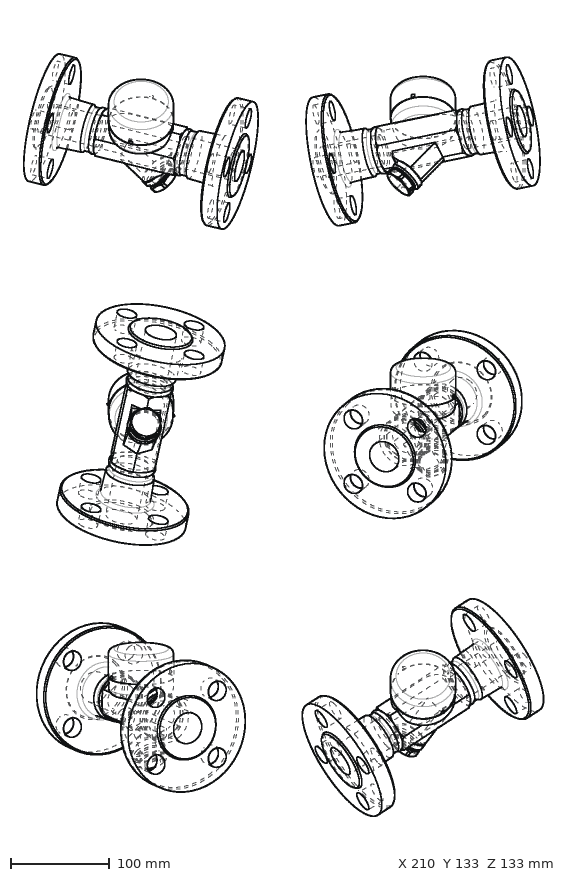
import cadquery as cq
import math

half_length = 105.0
raised_face_height = 2.0
raised_face_dia = 63.5
raised_face_base_dia = 66.5
flange_dia = 133.0
flange_thickness = 17.8
flange_chamfer = 1.5
bolt_hole_dia = 20.0
bolt_hole_count = 4
bolt_circle_dia = 98.0
bore_dia = 32.0

neck_root_dia = 51.8
neck_tip_dia = 50.0
neck_tip_x = 56.5
neck_root_fillet = 4.0
pipe_dia = 46.0
pipe_outer_x = 53.2
pipe_inner_x = 48.4
weld_bead_dia = 48.6

body_half_length = 43.2
body_across_flats = 44.6
body_chamfer_angle = 30.0

cap_dia = 66.0
cap_lower_dia = 65.0
cap_top_z = 61.2
cap_split_z = 31.4
cap_bottom_z = 14.0
cap_top_fillet = 5.5
cap_bottom_fillet = 6.0
nub_dia = 4.0
nub_height = 2.0
nub_z = 34.2

leg_origin_x = -22.8
leg_slope = 45.0
leg_across_corners = 34.0
leg_end = 53.2
leg_web_x = 27.8

plug_axis_drop = 0.5
collar_dia = 34.0
collar_chamfer = 1.9
collar_end = 60.9
plug_neck_dia = 29.0
plug_start = 62.7
plug_end = 70.2
plug_turned_dia = 33.0
plug_face_dia = 29.0
plug_across_flats = 30.0
plug_chamfer_angle = 30.0

hexagon_half_angle = math.radians(30)
flange_outer_x = half_length - raised_face_height
flange_inner_x = flange_outer_x - flange_thickness
body_across_corners = body_across_flats / math.cos(hexagon_half_angle)
leg_half_width = leg_across_corners / 2 * math.cos(hexagon_half_angle)
leg_web_top_z = leg_half_width * math.tan(hexagon_half_angle) - body_across_corners / 2


def make_flanged_end():
    """Half of the pipe run on the +X side: weld bead, pipe, neck and flange."""
    pipe_radius = pipe_dia / 2
    bead_middle_x = (body_half_length + pipe_inner_x) / 2
    neck_root_x = flange_inner_x - neck_root_fillet
    neck_root_radius = neck_root_dia / 2
    fillet_mid_inset = neck_root_fillet * math.sqrt(0.5)
    flange_radius = flange_dia / 2
    end = (
        cq.Workplane("XY")
        .moveTo(body_half_length, 0)
        .lineTo(body_half_length, pipe_radius)
        .threePointArc((bead_middle_x, weld_bead_dia / 2), (pipe_inner_x, pipe_radius))
        .lineTo(pipe_outer_x, pipe_radius)
        .tangentArcPoint((neck_tip_x, neck_tip_dia / 2), relative=False)
        .lineTo(neck_root_x, neck_root_radius)
        .threePointArc(
            (neck_root_x + fillet_mid_inset, neck_root_radius + neck_root_fillet - fillet_mid_inset),
            (flange_inner_x, neck_root_radius + neck_root_fillet),
        )
        .lineTo(flange_inner_x, flange_radius - flange_chamfer)
        .lineTo(flange_inner_x + flange_chamfer, flange_radius)
        .lineTo(flange_outer_x, flange_radius)
        .lineTo(flange_outer_x, raised_face_base_dia / 2)
        .lineTo(half_length, raised_face_dia / 2)
        .lineTo(half_length, 0)
        .close()
        .revolve(360, (0, 0, 0), (1, 0, 0))
    )
    bolt_holes = (
        cq.Workplane("YZ", origin=(flange_inner_x, 0, 0))
        .polarArray(bolt_circle_dia / 2, 180 / bolt_hole_count, 360, bolt_hole_count)
        .circle(bolt_hole_dia / 2)
        .extrude(flange_thickness)
    )
    return end.cut(bolt_holes)


def make_bore():
    """Blind port on the +X side, ending level with the end of the hexagonal body."""
    return (
        cq.Workplane("YZ", origin=(body_half_length, 0, 0))
        .circle(bore_dia / 2)
        .extrude(half_length - body_half_length)
    )


def make_body():
    """Hexagonal bar whose corners are turned down to a cone at both ends."""
    hexagon = (
        cq.Workplane("YZ", origin=(-body_half_length, 0, 0))
        .transformed(rotate=(0, 0, 90))
        .polygon(6, body_across_corners)
        .extrude(2 * body_half_length)
    )
    end_radius = pipe_dia / 2
    middle_radius = end_radius + body_half_length / math.tan(math.radians(body_chamfer_angle))
    turned_envelope = (
        cq.Workplane("XY")
        .polyline([
            (-body_half_length, 0),
            (-body_half_length, end_radius),
            (0, middle_radius),
            (body_half_length, end_radius),
            (body_half_length, 0),
        ])
        .close()
        .revolve(360, (0, 0, 0), (1, 0, 0))
    )
    return hexagon.intersect(turned_envelope)


def make_cap():
    """Round cap with rounded rims and a small conical nub on each Y side."""
    lower = (
        cq.Workplane("XY", origin=(0, 0, cap_bottom_z))
        .circle(cap_lower_dia / 2)
        .extrude(cap_split_z - cap_bottom_z)
        .faces("<Z")
        .edges()
        .fillet(cap_bottom_fillet)
    )
    upper = (
        cq.Workplane("XY", origin=(0, 0, cap_split_z))
        .circle(cap_dia / 2)
        .extrude(cap_top_z - cap_split_z)
        .faces(">Z")
        .edges()
        .fillet(cap_top_fillet)
    )
    cap = lower.union(upper)
    for side in (-1, 1):
        nub = cq.Solid.makeCone(
            nub_dia,
            0,
            2 * nub_height,
            pnt=cq.Vector(0, side * (cap_dia / 2 - nub_height), nub_z),
            dir=cq.Vector(0, side, 0),
        )
        cap = cap.union(cq.Workplane(obj=nub))
    return cap


def leg_plane(distance, drop=0.0):
    """Plane square to the leg axis; local X points up and towards +X, across the leg.

    The drop moves its origin off the leg axis, against local X.
    """
    slope = math.radians(leg_slope)
    axis = (math.cos(slope), 0, -math.sin(slope))
    across = (math.sin(slope), 0, math.cos(slope))
    origin = (
        leg_origin_x + distance * axis[0] - drop * across[0],
        0,
        distance * axis[2] - drop * across[2],
    )
    return cq.Plane(origin=origin, xDir=across, normal=axis)


def make_leg():
    """Hexagonal leg, with a flat-sided web filling the corner below the body."""
    leg = cq.Workplane(leg_plane(0)).polygon(6, leg_across_corners).extrude(leg_end)
    slope = math.radians(leg_slope)
    ridge_offset = leg_across_corners / 4

    ridge_x = leg_origin_x - ridge_offset / math.sin(slope)
    ridge_top_x = ridge_x - leg_web_top_z / math.tan(slope)
    ridge_end_x = leg_origin_x + leg_end * math.cos(slope) - ridge_offset * math.sin(slope)
    ridge_end_z = -leg_end * math.sin(slope) - ridge_offset * math.cos(slope)
    web_end_z = ridge_end_z + (leg_web_x - ridge_end_x) / math.tan(slope)
    web = (
        cq.Workplane("XZ")
        .polyline([
            (ridge_top_x, leg_web_top_z),
            (leg_web_x, leg_web_top_z),
            (leg_web_x, web_end_z),
            (ridge_end_x, ridge_end_z),
        ])
        .close()
        .extrude(leg_half_width, both=True)
    )
    return leg.union(web)


def revolve_about_plug_axis(profile):
    """Solid of revolution from (distance along the plug axis, radius) points."""
    origin_plane = leg_plane(0, plug_axis_drop)
    section_plane = cq.Plane(
        origin=origin_plane.origin,
        xDir=origin_plane.zDir,
        normal=origin_plane.zDir.cross(origin_plane.xDir),
    )
    return (
        cq.Workplane(section_plane)
        .polyline(profile)
        .close()
        .revolve(360, (0, 0, 0), (1, 0, 0))
    )


def make_plug():
    """Round collar, gasket neck and hexagonal screw head closing the leg."""
    collar_radius = collar_dia / 2
    neck_radius = plug_neck_dia / 2
    collar_and_neck = revolve_about_plug_axis([
        (leg_end, 0),
        (leg_end, collar_radius),
        (collar_end - collar_chamfer, collar_radius),
        (collar_end, collar_radius - collar_chamfer),
        (collar_end, neck_radius),
        (plug_start, neck_radius),
        (plug_start, 0),
    ])

    turned_radius = plug_turned_dia / 2
    face_radius = plug_face_dia / 2
    chamfer_length = (turned_radius - face_radius) * math.tan(math.radians(plug_chamfer_angle))
    turned_envelope = revolve_about_plug_axis([
        (plug_start, 0),
        (plug_start, face_radius),
        (plug_start + chamfer_length, turned_radius),
        (plug_end - chamfer_length, turned_radius),
        (plug_end, face_radius),
        (plug_end, 0),
    ])
    head = (
        cq.Workplane(leg_plane(plug_start, plug_axis_drop))
        .polygon(6, plug_across_flats / math.cos(hexagon_half_angle))
        .extrude(plug_end - plug_start)
        .intersect(turned_envelope)
    )
    return collar_and_neck.union(head)


def mirrored(half):
    """The given +X half together with its mirror image."""
    return half.union(half.mirror("YZ"))


result = (
    mirrored(make_flanged_end())
    .union(make_body())
    .union(make_leg())
    .union(make_plug())
    .union(make_cap())
    .cut(make_bore())
    .cut(make_bore().mirror("YZ"))
)